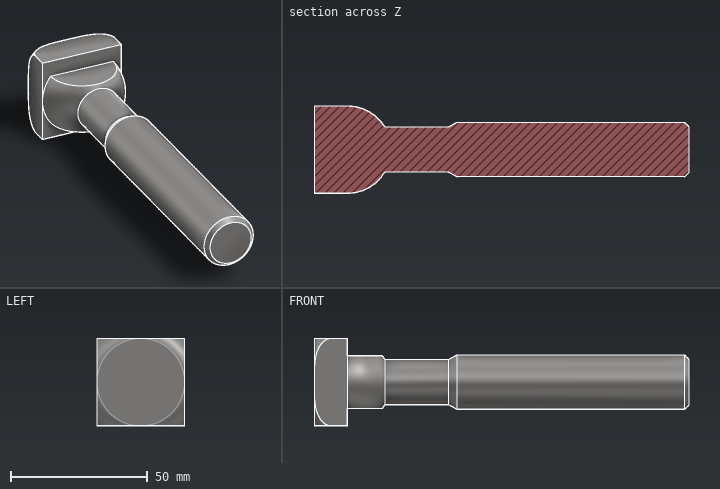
import cadquery as cq
import math

total_length = 137.0

head_width = 32.0
head_thickness = 12.0
corner_round_radius = 6.7

shoulder_radius = head_width / 2
shoulder_flat_width = 19.5

neck_diameter = 16.6
neck_end = 49.0
shank_diameter = 20.0
shank_start = 52.0
tip_chamfer = 1.6


def make_head():
    """Square block whose front corners are rounded off around the shaft axis."""
    half_width = head_width / 2
    block = cq.Workplane("XY").box(
        head_thickness, head_width, head_width, centered=(False, True, True)
    )
    arc_middle = corner_round_radius * math.sqrt(0.5)
    rounded_disc = (
        cq.Workplane("XY")
        .lineTo(0, half_width)
        .threePointArc(
            (corner_round_radius - arc_middle, half_width + arc_middle),
            (corner_round_radius, half_width + corner_round_radius),
        )
        .lineTo(head_thickness, half_width + corner_round_radius)
        .lineTo(head_thickness, 0)
        .close()
        .revolve(360, (0, 0, 0), (1, 0, 0))
    )
    return block.intersect(rounded_disc)


def make_shoulder():
    """Half ball behind the head, flattened on its top and bottom."""
    ball = cq.Workplane("XY").sphere(shoulder_radius)
    flattened_half = cq.Workplane("XY").box(
        shoulder_radius, head_width, shoulder_flat_width, centered=(False, True, True)
    )
    return ball.intersect(flattened_half).translate((head_thickness, 0, 0))


def make_shaft():
    """Neck, conical step and full shank with a chamfered tip, turned about X."""
    neck_radius = neck_diameter / 2
    shank_radius = shank_diameter / 2
    return (
        cq.Workplane("XY")
        .moveTo(head_thickness, 0)
        .lineTo(head_thickness, neck_radius)
        .lineTo(neck_end, neck_radius)
        .lineTo(shank_start, shank_radius)
        .lineTo(total_length - tip_chamfer, shank_radius)
        .lineTo(total_length, shank_radius - tip_chamfer)
        .lineTo(total_length, 0)
        .close()
        .revolve(360, (0, 0, 0), (1, 0, 0))
    )


result = make_head().union(make_shoulder()).union(make_shaft())